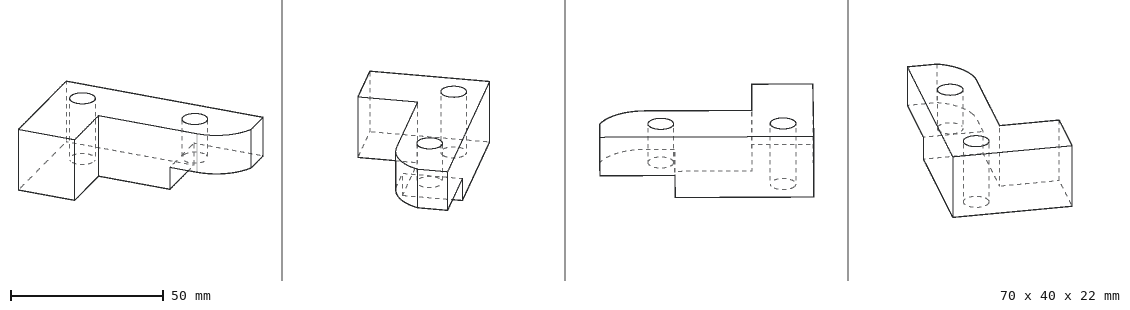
import cadquery as cq
import math

length = 70.0
width = 40.0
height = 22.0

arm_width = 20.0
leg_width = 20.0
nose_start = 55.0
nose_flat = 10.0

relief_start = 45.35
relief_height = 8.0

hole_diameter = 8.4
hole_inset = 10.0
hole_spacing = 40.0

arm_front = width - arm_width


def nose_midpoint():
    """Middle of the nose arc, which is tangent to the front of the arm."""
    run = length - nose_start
    rise = arm_width - nose_flat
    radius = (run**2 + rise**2) / (2 * rise)
    half_angle = math.asin(run / radius) / 2
    x = nose_start + radius * math.sin(half_angle)
    y = arm_front + radius * (1 - math.cos(half_angle))
    return x, y


def make_body():
    return (
        cq.Workplane("XY")
        .moveTo(0, 0)
        .lineTo(leg_width, 0)
        .lineTo(leg_width, arm_front)
        .lineTo(nose_start, arm_front)
        .threePointArc(nose_midpoint(), (length, width - nose_flat))
        .lineTo(length, width)
        .lineTo(0, width)
        .close()
        .extrude(height)
    )


def make_relief():
    return cq.Workplane("XY").box(
        length - relief_start, width, relief_height, centered=False
    ).translate((relief_start, 0, 0))


def make_holes():
    hole_y = width - arm_width / 2
    centres = [(hole_inset, hole_y), (hole_inset + hole_spacing, hole_y)]
    return cq.Workplane("XY").pushPoints(centres).circle(hole_diameter / 2).extrude(height)


result = make_body().cut(make_relief()).cut(make_holes())